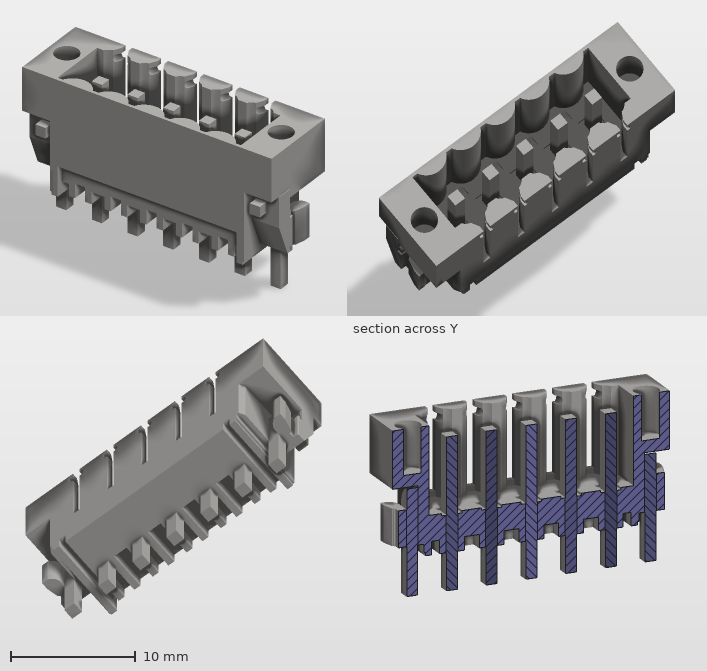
import cadquery as cq
import math


ARC_MIDDLE = math.sqrt(0.5)

PIN_COUNT = 5
PITCH = 3.5
WIRE = 1.0
PIN_Y = 3.47
PIN_TOP = 9.85
PIN_BOTTOM = -3.23
PIN_XS = [(i - (PIN_COUNT - 1) / 2) * PITCH for i in range(PIN_COUNT)]
GAP_XS = [x + PITCH / 2 for x in PIN_XS[:-1]]
WIRE_FRONT = PIN_Y - WIRE / 2
WIRE_BACK = PIN_Y + WIRE / 2

HALF_LENGTH = 12.22
DEPTH = 7.45
HEIGHT = 11.03
RIGHT_TRIM = 0.05
FOOT_HALF = 9.49
FLANGE_BOTTOM = 6.05
BACK_CHAMFER_X = 0.32
BACK_CHAMFER_Y = 0.51
FOOT_STEP_X = 0.15
FOOT_STEP_Z = 0.3

CAVITY_HALF = 8.97
CAVITY_FLOOR = 3.42
CAVITY_FRONT = 0.3
CAVITY_BACK = 5.82
BUMP_HALF = 1.47
BUMP_RISE = 0.9
SLOT_HALF = 0.35
SLOT_SILL = 3.9
BACK_WALL = 0.51
SCALLOP_HALF = 1.32
SCALLOP_NECK_HALF = 0.7
SCALLOP_NECK_Y = 6.25
SCALLOP_RADIUS = 1.0
LATCH_RADIUS = 0.73
LATCH_CENTER_Z = 10.27
LATCH_FLOOR = 9.85
LATCH_CEILING = 10.55
WELL = 1.75
WELL_DEPTH = 0.2
POCKET_WIDTH = 1.45
POCKET_FRONT = 1.1
POCKET_LENGTH = 0.9
POCKET_DEPTH = 0.17

RECESS_HALF = 8.75
RECESS_DEPTH = 0.6
RECESS_TOP = 2.85
NOTCH_TOP = 1.15
END_NOTCH_WIDTH = 0.65
GAP_NOTCH_WIDTH = 1.27
PIN_NOTCH_TOP = 1.4

SCREW_RADIUS = 1.1
SCREW_Y = 3.77
SCREW_DEPTH = 3.9
LOCK_X = (PIN_COUNT + 1) / 2 * PITCH
BLOCK_HALF = LOCK_X - WIRE / 2
COLUMN_FRONT = 1.0
COLUMN_BACK = 2.5
COLUMN_TOP = 6.9
COLUMN_BOTTOM = 1.0
SLOPE_TOP = 3.95
SLOPE_BOTTOM_Y = 2.18

LOCK_TOP = 6.01
LOCK_FRONT = 0.07
BEND_INNER = WIRE_FRONT - COLUMN_BACK
BEND_OUTER = BEND_INNER + WIRE
BEND_Z = LOCK_TOP - BEND_OUTER
SHOULDER_RADIUS = 0.37
SHOULDER_SETBACK = 0.15
GROOVE_CHAMFER = 0.07
CLIP_TOP = 4.18
CLIP_BACK = 5.28
CLIP_CORNER = 0.56
CLIP_FLAT_BACK = 4.47
CLIP_CORNER_MID = (0.95, 5.04)
LIP_SLOPE_END = 4.62
LIP_Y = 3.6
LIP_SETBACK = 0.25
LIP_RADIUS = 0.15
GROOVE_DEPTH = 0.5
CLIP_THICKNESS = HALF_LENGTH - LOCK_X - WIRE / 2


def block(x0, x1, y0, y1, z0, z1):
    """Box between two opposite corners."""
    return cq.Workplane("XY").box(x1 - x0, y1 - y0, z1 - z0, centered=False).translate((x0, y0, z0))


def mirror_x(shape):
    return shape.mirror("YZ")


def side_profile(x0):
    """Sketch plane looking along X, with local axes Y and Z, at x0."""
    return cq.Workplane("YZ", origin=(x0, 0, 0))


def cavity_cell():
    """Cavity outline around one pin: bumped front wall, scalloped back wall with a slot."""
    half = PITCH / 2
    neck_x, neck_y = SCALLOP_NECK_HALF, SCALLOP_NECK_Y
    chord_x = SCALLOP_HALF - neck_x
    chord_y = neck_y - CAVITY_BACK
    chord = math.hypot(chord_x, chord_y)
    sag = SCALLOP_RADIUS - math.sqrt(SCALLOP_RADIUS**2 - chord**2 / 4)
    mid_x = (SCALLOP_HALF + neck_x) / 2 + sag * chord_y / chord
    mid_y = (CAVITY_BACK + neck_y) / 2 + sag * chord_x / chord
    slot_y = DEPTH - BACK_WALL
    return (
        cq.Workplane("XY", origin=(0, 0, CAVITY_FLOOR))
        .moveTo(-half, CAVITY_FRONT)
        .lineTo(-BUMP_HALF, CAVITY_FRONT)
        .threePointArc((0, CAVITY_FRONT + BUMP_RISE), (BUMP_HALF, CAVITY_FRONT))
        .lineTo(half, CAVITY_FRONT)
        .lineTo(half, CAVITY_BACK)
        .lineTo(SCALLOP_HALF, CAVITY_BACK)
        .threePointArc((mid_x, mid_y), (neck_x, neck_y))
        .lineTo(SLOT_HALF, slot_y)
        .lineTo(-SLOT_HALF, slot_y)
        .lineTo(-neck_x, neck_y)
        .threePointArc((-mid_x, mid_y), (-SCALLOP_HALF, CAVITY_BACK))
        .lineTo(-half, CAVITY_BACK)
        .close()
        .extrude(HEIGHT - CAVITY_FLOOR)
    )


def latch_opening():
    """Back-wall slot of one pin, widened by a round-sided opening below the rim."""
    slot = block(-SLOT_HALF, SLOT_HALF, DEPTH - BACK_WALL, DEPTH, SLOT_SILL, HEIGHT)
    bore = (
        cq.Workplane("XZ", origin=(0, DEPTH, LATCH_CENTER_Z))
        .circle(LATCH_RADIUS)
        .extrude(DEPTH - CAVITY_BACK)
    )
    flats = block(-LATCH_RADIUS, LATCH_RADIUS, CAVITY_BACK, DEPTH, LATCH_FLOOR, LATCH_CEILING)
    opening = bore.intersect(flats)
    return slot.union(opening)


def floor_pocket():
    """Small pocket in the cavity floor whose front half is a ramp."""
    return (
        side_profile(-POCKET_WIDTH / 2)
        .moveTo(POCKET_FRONT, CAVITY_FLOOR)
        .lineTo(POCKET_FRONT + POCKET_LENGTH / 2, CAVITY_FLOOR - POCKET_DEPTH)
        .lineTo(POCKET_FRONT + POCKET_LENGTH, CAVITY_FLOOR - POCKET_DEPTH)
        .lineTo(POCKET_FRONT + POCKET_LENGTH, CAVITY_FLOOR)
        .close()
        .extrude(POCKET_WIDTH)
    )


def middle_block():
    """Body below the flanges: widened and chamfered at the back, stepped in at the sole."""
    wide_back = (
        cq.Workplane("XY", origin=(0, 0, COLUMN_BOTTOM))
        .moveTo(-BLOCK_HALF, COLUMN_BACK)
        .lineTo(BLOCK_HALF, COLUMN_BACK)
        .lineTo(BLOCK_HALF, DEPTH - BACK_CHAMFER_Y)
        .lineTo(BLOCK_HALF - BACK_CHAMFER_X, DEPTH)
        .lineTo(BACK_CHAMFER_X - BLOCK_HALF, DEPTH)
        .lineTo(-BLOCK_HALF, DEPTH - BACK_CHAMFER_Y)
        .close()
        .extrude(FLANGE_BOTTOM - COLUMN_BOTTOM)
    )
    foot = block(-FOOT_HALF, FOOT_HALF, 0, DEPTH, FOOT_STEP_Z, FLANGE_BOTTOM)
    sole_half = FOOT_HALF - FOOT_STEP_X
    sole = block(-sole_half, sole_half, 0, DEPTH, 0, FOOT_STEP_Z)
    return foot.union(wide_back).union(sole)


def column():
    """Left support column, from the flange down to its sloped front foot."""
    return (
        side_profile(-HALF_LENGTH)
        .moveTo(COLUMN_FRONT, COLUMN_TOP)
        .lineTo(COLUMN_FRONT, SLOPE_TOP)
        .lineTo(SLOPE_BOTTOM_Y, COLUMN_BOTTOM)
        .lineTo(COLUMN_BACK, COLUMN_BOTTOM)
        .lineTo(COLUMN_BACK, COLUMN_TOP)
        .close()
        .extrude(HALF_LENGTH - FOOT_HALF)
    )


def shoulder():
    """Rounded ledge behind the left column, just inside the bend of the board lock."""
    quarter = SHOULDER_RADIUS * ARC_MIDDLE
    start = SHOULDER_SETBACK - HALF_LENGTH
    return (
        side_profile(start)
        .moveTo(COLUMN_BACK, COLUMN_BOTTOM)
        .lineTo(COLUMN_BACK + SHOULDER_RADIUS, COLUMN_BOTTOM)
        .lineTo(COLUMN_BACK + SHOULDER_RADIUS, BEND_Z)
        .threePointArc((COLUMN_BACK + quarter, BEND_Z + quarter), (COLUMN_BACK, BEND_Z + SHOULDER_RADIUS))
        .close()
        .extrude(-BLOCK_HALF - start)
    )


def clip():
    """Left clip outside the board lock: a grooved plate with a rounded back corner."""
    outer = -HALF_LENGTH
    inner = outer + CLIP_THICKNESS
    groove = outer + GROOVE_DEPTH
    lip = outer + LIP_SETBACK
    lip_end = LIP_Y - LIP_RADIUS
    lip_mid = LIP_RADIUS * ARC_MIDDLE
    corner_depth, corner_y = CLIP_CORNER_MID
    return (
        cq.Workplane("XY", origin=(0, 0, COLUMN_BOTTOM))
        .moveTo(outer, COLUMN_BACK)
        .lineTo(outer, COLUMN_BACK + SHOULDER_RADIUS)
        .lineTo(outer + GROOVE_CHAMFER, WIRE_FRONT)
        .lineTo(groove, WIRE_FRONT)
        .lineTo(groove, lip_end)
        .lineTo(lip + LIP_RADIUS, lip_end)
        .threePointArc((lip + lip_mid, lip_end + lip_mid), (lip, LIP_Y))
        .lineTo(outer, LIP_SLOPE_END)
        .lineTo(outer, CLIP_BACK)
        .lineTo(outer + CLIP_CORNER, CLIP_BACK)
        .threePointArc((outer + corner_depth, corner_y), (inner, CLIP_FLAT_BACK))
        .lineTo(inner, COLUMN_BACK)
        .close()
        .extrude(CLIP_TOP - COLUMN_BOTTOM)
    )


def housing_blank():
    """Upper body, middle block and both end supports, before any opening is cut."""
    body = block(-HALF_LENGTH, HALF_LENGTH - RIGHT_TRIM, 0, DEPTH, FLANGE_BOTTOM, HEIGHT)
    front_relief = block(-HALF_LENGTH, -FOOT_HALF, 0, COLUMN_FRONT, FLANGE_BOTTOM, COLUMN_TOP)
    body = body.cut(front_relief).cut(mirror_x(front_relief))
    end = column().union(shoulder()).union(clip())
    return body.union(middle_block()).union(end).union(mirror_x(end))


def cut_mating_cavity(body):
    """Open the cavity cell by cell, then its two plain ends and the recesses in its floor."""
    cell_end = PIN_COUNT * PITCH / 2
    for x0, x1 in ((-CAVITY_HALF, -cell_end), (cell_end, CAVITY_HALF)):
        body = body.cut(block(x0, x1, CAVITY_FRONT, CAVITY_BACK, CAVITY_FLOOR, HEIGHT))
    half = WELL / 2
    well = block(-half, half, PIN_Y - half, PIN_Y + half, CAVITY_FLOOR - WELL_DEPTH, CAVITY_FLOOR)
    for x in PIN_XS:
        for opening in (cavity_cell(), latch_opening(), well):
            body = body.cut(opening.translate((x, 0, 0)))
    for x in GAP_XS:
        body = body.cut(floor_pocket().translate((x, 0, 0)))
    return body


def cut_foot_comb(body):
    """Front recess at the foot, with notches below it at the ends, the gaps and the pins."""
    body = body.cut(block(-RECESS_HALF, RECESS_HALF, 0, RECESS_DEPTH, 0, RECESS_TOP))
    end_notch = block(-RECESS_HALF, END_NOTCH_WIDTH - RECESS_HALF, 0, DEPTH, 0, NOTCH_TOP)
    body = body.cut(end_notch).cut(mirror_x(end_notch))
    for x in GAP_XS:
        half = GAP_NOTCH_WIDTH / 2
        body = body.cut(block(x - half, x + half, 0, WIRE_BACK, 0, NOTCH_TOP))
    for x in PIN_XS:
        half = WIRE / 2
        body = body.cut(block(x - half, x + half, 0, WIRE_FRONT, 0, PIN_NOTCH_TOP))
    return body


def cut_screw_holes(body):
    """Blind screw hole in the top of each flange, above the board lock."""
    for x in (-LOCK_X, LOCK_X):
        hole = cq.Workplane("XY", origin=(x, SCREW_Y, HEIGHT - SCREW_DEPTH)).circle(SCREW_RADIUS)
        body = body.cut(hole.extrude(SCREW_DEPTH))
    return body


def make_housing(inserts):
    """Housing with a matching hole for every pin and board lock."""
    body = cut_screw_holes(cut_foot_comb(cut_mating_cavity(housing_blank())))
    for insert in inserts:
        body = body.cut(insert)
    return body


def make_pin(x):
    half = WIRE / 2
    return block(x - half, x + half, WIRE_FRONT, WIRE_BACK, PIN_BOTTOM, PIN_TOP)


def make_board_lock(x):
    """Square wire: a peg through the column, a quarter bend and a leg down to the board."""
    inner = BEND_INNER * ARC_MIDDLE
    outer = BEND_OUTER * ARC_MIDDLE
    return (
        side_profile(x - WIRE / 2)
        .moveTo(LOCK_FRONT, LOCK_TOP)
        .lineTo(COLUMN_BACK, LOCK_TOP)
        .threePointArc((COLUMN_BACK + outer, BEND_Z + outer), (WIRE_BACK, BEND_Z))
        .lineTo(WIRE_BACK, PIN_BOTTOM)
        .lineTo(WIRE_FRONT, PIN_BOTTOM)
        .lineTo(WIRE_FRONT, BEND_Z)
        .threePointArc((COLUMN_BACK + inner, BEND_Z + inner), (COLUMN_BACK, BEND_Z + BEND_INNER))
        .lineTo(LOCK_FRONT, LOCK_TOP - WIRE)
        .close()
        .extrude(WIRE)
    )


pins = [make_pin(x) for x in PIN_XS]
board_locks = [make_board_lock(x) for x in (-LOCK_X, LOCK_X)]

housing = make_housing(pins + board_locks)

result = cq.Compound.makeCompound([housing.val(), *[insert.val() for insert in pins + board_locks]])